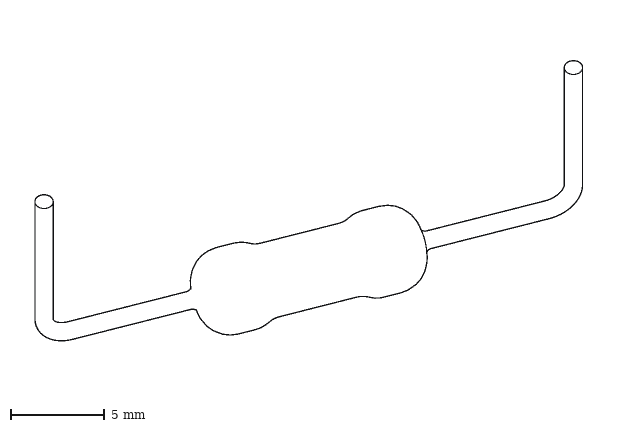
import cadquery as cq
import math

overall_length = 31.0
overall_height = 13.4

cap_radius = 4.8 / 2
waist_radius = 4.1 / 2
body_half_length = 6.42
cap_round_radius = 1.8
cap_inner_edge = 3.6
waist_half_length = 2.2
meniscus_radius = 0.37

lead_radius = 1.0 / 2
bend_radius = 1.5
lead_offset = overall_length / 2 - lead_radius
lead_top = overall_height - cap_radius

diagonal = math.sqrt(0.5)


def add_shoulder(profile, start, end):
    """Add two equal tangent arcs that blend between the cap and the waist."""
    start_radius, start_y = start
    end_radius, end_y = end
    length = abs(end_y - start_y)
    drop = abs(end_radius - start_radius)
    arc_radius = (length**2 + drop**2) / (4 * drop)
    half_angle = math.asin(length / 2 / arc_radius) / 2
    along = math.copysign(arc_radius * math.sin(half_angle), end_y - start_y)
    across = math.copysign(arc_radius * (1 - math.cos(half_angle)), end_radius - start_radius)
    middle = ((start_radius + end_radius) / 2, (start_y + end_y) / 2)
    profile = profile.threePointArc((start_radius + across, start_y + along), middle)
    return profile.threePointArc((end_radius - across, end_y - along), end)


def make_body():
    """Revolve the dog-bone body and its wire menisci about Y."""
    round_y = body_half_length - cap_round_radius
    round_x = cap_radius - cap_round_radius
    face_radius = lead_radius + meniscus_radius
    meniscus_y = body_half_length + meniscus_radius

    foot_y = round_y + math.sqrt(cap_round_radius**2 - (face_radius - round_x) ** 2)
    cap_mid = (round_x + cap_round_radius * diagonal, round_y + cap_round_radius * diagonal)
    meniscus_mid = (
        face_radius - meniscus_radius * diagonal,
        meniscus_y - meniscus_radius * diagonal,
    )

    profile = (
        cq.Workplane("XY")
        .moveTo(0, -meniscus_y)
        .lineTo(lead_radius, -meniscus_y)
        .threePointArc((meniscus_mid[0], -meniscus_mid[1]), (face_radius, -foot_y))
        .threePointArc((cap_mid[0], -cap_mid[1]), (cap_radius, -round_y))
        .lineTo(cap_radius, -cap_inner_edge)
    )
    profile = add_shoulder(profile, (cap_radius, -cap_inner_edge), (waist_radius, -waist_half_length))
    profile = profile.lineTo(waist_radius, waist_half_length)
    profile = add_shoulder(profile, (waist_radius, waist_half_length), (cap_radius, cap_inner_edge))
    profile = (
        profile.lineTo(cap_radius, round_y)
        .threePointArc(cap_mid, (face_radius, foot_y))
        .threePointArc(meniscus_mid, (lead_radius, meniscus_y))
        .lineTo(0, meniscus_y)
        .close()
    )
    return profile.revolve(360, (0, 0, 0), (0, 1, 0))


def make_lead(side):
    """Sweep one lead from the body end, round its bend and up; side is +1 or -1."""
    start_y = body_half_length + meniscus_radius
    bend_y = lead_offset - bend_radius
    path = (
        cq.Workplane("YZ")
        .moveTo(side * start_y, 0)
        .lineTo(side * bend_y, 0)
        .threePointArc(
            (side * (bend_y + bend_radius * diagonal), bend_radius * (1 - diagonal)),
            (side * lead_offset, bend_radius),
        )
        .lineTo(side * lead_offset, lead_top)
    )
    section = cq.Workplane("XZ", origin=(0, side * start_y, 0)).circle(lead_radius)
    return section.sweep(path)


result = make_body()
for side in (-1, 1):
    result = result.union(make_lead(side))